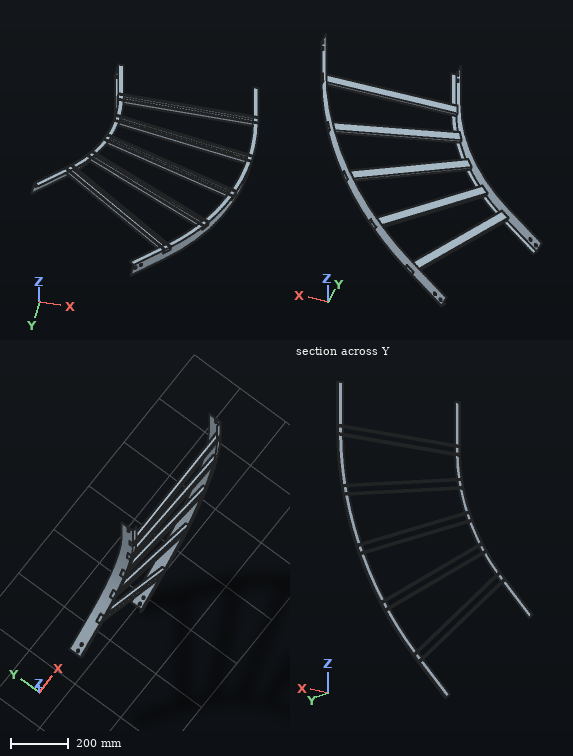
import cadquery as cq
import math


overall_height = 1073.0
bend_angle = 45.0
inner_radius = 600.0
tray_width = 500.0
outer_radius = inner_radius + tray_width
bend_sin = math.sin(math.radians(bend_angle))
bend_cos = math.cos(math.radians(bend_angle))
straight = (overall_height - outer_radius * bend_sin) / (1 + bend_cos)

rail_depth = 50.0
rail_flange = 20.0
rail_sheet = 1.6

rung_count = 5
rung_width = 36.0
rung_depth = 16.0
rung_lip = 6.0
rung_sheet = 1.6

slot_length = 12.0
slot_width = 8.0
slot_from_front = 20.0
slot_from_end = (15.0, 44.0)


def arc_point(radius, angle):
    """X and Z of a point on the bend, measured downward from the +X axis."""
    a = math.radians(angle)
    return radius * math.cos(a), -radius * math.sin(a)


def rail_end(radius):
    """X and Z of the lower end of a rail line."""
    x, z = arc_point(radius, bend_angle)
    return x - straight * bend_sin, z - straight * bend_cos


def rail_strip(near_radius, far_radius, depth):
    """Straight, arc and straight band between two radii, from the front plane backward."""
    return (
        cq.Workplane("XZ")
        .moveTo(near_radius, straight)
        .lineTo(near_radius, 0)
        .threePointArc(arc_point(near_radius, bend_angle / 2), arc_point(near_radius, bend_angle))
        .lineTo(*rail_end(near_radius))
        .lineTo(*rail_end(far_radius))
        .lineTo(*arc_point(far_radius, bend_angle))
        .threePointArc(arc_point(far_radius, bend_angle / 2), (far_radius, 0))
        .lineTo(far_radius, straight)
        .close()
        .extrude(-depth)
    )


def inner_rail():
    web = rail_strip(inner_radius, inner_radius + rail_sheet, rail_depth)
    return web.union(rail_strip(inner_radius, inner_radius + rail_flange, rail_sheet))


def outer_rail():
    web = rail_strip(outer_radius - rail_sheet, outer_radius, rail_depth)
    return web.union(rail_strip(outer_radius - rail_flange, outer_radius, rail_sheet))


def rung(angle):
    """Channel open to the front with inturned lips, set behind the flanges on a bend radius."""
    length = tray_width - rail_sheet / 2
    back = rail_sheet + rung_depth
    inside_width = rung_width - 2 * rung_sheet
    mouth_width = rung_width - 2 * rung_lip

    def bar(width, front, rear):
        block = cq.Workplane("XY").box(length, rear - front, width, centered=(False, False, True))
        return block.translate((inner_radius, front, 0))

    channel = (
        bar(rung_width, rail_sheet, back)
        .cut(bar(inside_width, rail_sheet + rung_sheet, back - rung_sheet))
        .cut(bar(mouth_width, rail_sheet, back - rung_sheet))
    )
    return channel.rotate((0, 0, 0), (0, 1, 0), angle)


def slot_pair():
    """Cutters from the bend axis through both webs at the upper, vertical rail ends."""
    return (
        cq.Workplane("YZ")
        .pushPoints([(slot_from_front, straight - distance) for distance in slot_from_end])
        .slot2D(slot_length, slot_width, 90)
        .extrude(outer_radius)
    )


result = inner_rail().union(outer_rail())
upper_slots = slot_pair()
lower_slots = upper_slots.mirror("XY").rotate((0, 0, 0), (0, 1, 0), bend_angle)
result = result.cut(upper_slots).cut(lower_slots)

for index in range(rung_count):
    result = result.union(rung(bend_angle * index / (rung_count - 1)), clean=False)